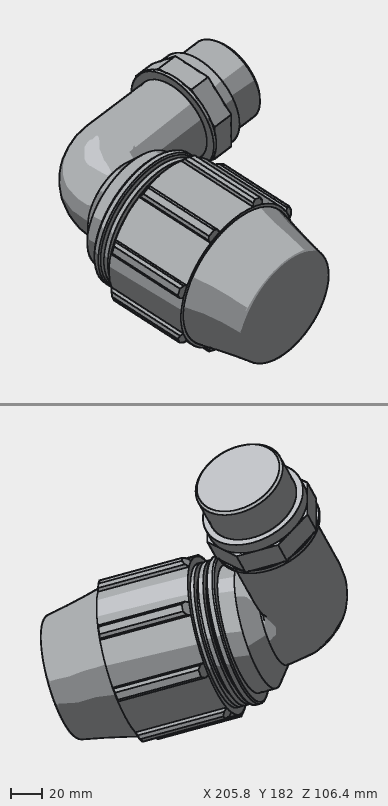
import cadquery as cq
import math

TUBE_DIAMETER = 59.7
TUBE_RADIUS = TUBE_DIAMETER / 2
BEND_RADIUS = 24.0

SPIGOT_END = 128.8
SPIGOT_CHAMFER = 1.6
COLLAR_DIAMETER = 68.5
COLLAR_END = 103.0
OCTAGON_SIDES = 8
OCTAGON_FLATS = COLLAR_DIAMETER
OCTAGON_END = 95.3
FLANGE_DIAMETER = 71.6
FLANGE_END = 79.6
FLANGE_START = 77.2

CONE_START = 25.5
CONE_END = 36.5
BODY_RADIUS = 84.8 / 2
STOP_RING_RADIUS = 98.4 / 2
STOP_RING_START = 48.0
STOP_RING_WIDTH = 5.4
STOP_RING_CHAMFER = 1.0
THREAD_RADIUS = 95.3 / 2
THREAD_RING_START = 55.8
THREAD_RING_WIDTH = 3.3
LAST_RING_START = 62.0

NUT_START = 64.5
NUT_END = 126.8
NOSE_START = 127.5
NUT_RADIUS = 52.3
NOSE_ROOT_RADIUS = 50.0
NOSE_TIP_RADIUS = 41.4
NOSE_MIDDLE_SAG = 0.5
OVERALL_LENGTH = 205.8
NOSE_END = OVERALL_LENGTH - FLANGE_DIAMETER / 2
NOSE_ROUND_RADIUS = 2.5

RIB_COUNT = 8
RIB_TOP_RADIUS = 56.5
RIB_WIDTH = 9.3
RIB_CHAMFER = 2.0
RIB_FRONT_SLOPE = 3.7
RIB_BACK_SLOPE = 1.6

OVERLAP = 2.0


def cylinder_along_y(diameter, start, end):
    start_plane = cq.Workplane("XZ", origin=(0, start, 0))
    return start_plane.circle(diameter / 2).extrude(start - end)


def disc_along_x(radius, start, end):
    return cq.Workplane("YZ", origin=(start, 0, 0)).circle(radius).extrude(end - start)


def make_spigot():
    tube = cylinder_along_y(TUBE_DIAMETER, BEND_RADIUS, SPIGOT_END).faces(">Y").chamfer(SPIGOT_CHAMFER)
    flange = cylinder_along_y(FLANGE_DIAMETER, FLANGE_START, FLANGE_END)
    collar = cylinder_along_y(COLLAR_DIAMETER, OCTAGON_END, COLLAR_END)
    half_side_angle = 180 / OCTAGON_SIDES
    corner_diameter = OCTAGON_FLATS / math.cos(math.radians(half_side_angle))
    octagon = (
        cq.Workplane("XZ", origin=(0, FLANGE_END, 0))
        .transformed(rotate=(0, 0, half_side_angle))
        .polygon(OCTAGON_SIDES, corner_diameter)
        .extrude(FLANGE_END - OCTAGON_END)
    )
    return tube.union(flange).union(collar).union(octagon)


def make_elbow():
    half_chord = math.sqrt(TUBE_RADIUS**2 - BEND_RADIUS**2)
    return (
        cq.Workplane("XZ", origin=(0, BEND_RADIUS, 0))
        .moveTo(BEND_RADIUS, -half_chord)
        .threePointArc((-TUBE_RADIUS, 0), (BEND_RADIUS, half_chord))
        .close()
        .revolve(90, (BEND_RADIUS, 0, 0), (BEND_RADIUS, 1, 0))
    )


def make_body():
    core = (
        cq.Workplane("XY")
        .moveTo(BEND_RADIUS, 0)
        .lineTo(BEND_RADIUS, TUBE_RADIUS)
        .lineTo(CONE_START, TUBE_RADIUS)
        .lineTo(CONE_END, BODY_RADIUS)
        .lineTo(NUT_START + OVERLAP, BODY_RADIUS)
        .lineTo(NUT_START + OVERLAP, 0)
        .close()
        .revolve(360, (0, 0, 0), (1, 0, 0))
    )
    stop_ring = disc_along_x(STOP_RING_RADIUS, STOP_RING_START, STOP_RING_START + STOP_RING_WIDTH)
    stop_ring = stop_ring.edges().chamfer(STOP_RING_CHAMFER)
    thread_ring = disc_along_x(THREAD_RADIUS, THREAD_RING_START, THREAD_RING_START + THREAD_RING_WIDTH)
    last_ring = disc_along_x(THREAD_RADIUS, LAST_RING_START, NUT_START + OVERLAP)
    return core.union(stop_ring).union(thread_ring).union(last_ring)


def make_nut():
    tip_start = NOSE_END - NOSE_ROUND_RADIUS
    nose_middle = (
        (NOSE_START + tip_start) / 2,
        (NOSE_ROOT_RADIUS + NOSE_TIP_RADIUS) / 2 - NOSE_MIDDLE_SAG,
    )
    return (
        cq.Workplane("XY")
        .moveTo(NUT_START, 0)
        .lineTo(NUT_START, NUT_RADIUS)
        .lineTo(NUT_END, NUT_RADIUS)
        .lineTo(NUT_END, NOSE_ROOT_RADIUS)
        .lineTo(NOSE_START, NOSE_ROOT_RADIUS)
        .threePointArc(nose_middle, (tip_start, NOSE_TIP_RADIUS))
        .radiusArc((NOSE_END, NOSE_TIP_RADIUS - NOSE_ROUND_RADIUS), NOSE_ROUND_RADIUS)
        .lineTo(NOSE_END, 0)
        .close()
        .revolve(360, (0, 0, 0), (1, 0, 0))
    )


def make_rib(angle):
    side_profile = [
        (NUT_START, NUT_RADIUS - OVERLAP),
        (NUT_START, NUT_RADIUS),
        (NUT_START + RIB_FRONT_SLOPE, RIB_TOP_RADIUS),
        (NUT_END - RIB_BACK_SLOPE, RIB_TOP_RADIUS),
        (NUT_END, NUT_RADIUS),
        (NUT_END, NUT_RADIUS - OVERLAP),
    ]
    rib = cq.Workplane("XZ").polyline(side_profile).close().extrude(RIB_WIDTH / 2, both=True)
    rib = rib.faces(">Z").edges("|X").chamfer(RIB_CHAMFER)
    return rib.rotate((0, 0, 0), (1, 0, 0), angle)


result = make_spigot().union(make_elbow()).union(make_body()).union(make_nut())
rib_pitch = 360 / RIB_COUNT
for index in range(RIB_COUNT):
    result = result.union(make_rib((index + 0.5) * rib_pitch))